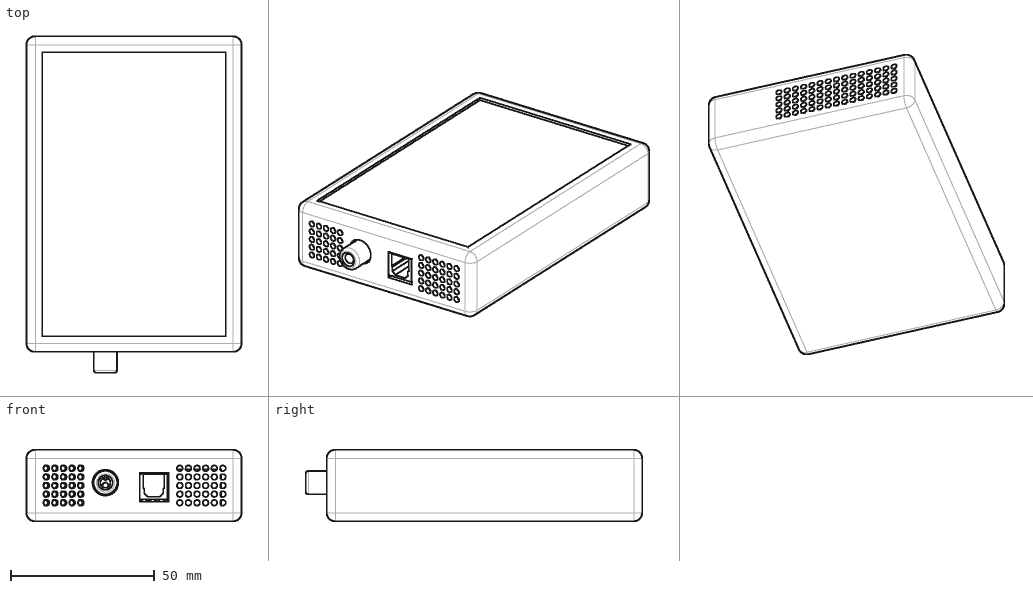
import cadquery as cq

WIDTH = 75.0
TOTAL_LENGTH = 117.2
HEIGHT = 25.0
JACK_REACH = 7.3
LENGTH = TOTAL_LENGTH - JACK_REACH
EDGE_RADIUS = 3.0
WALL = 2.0

RECESS_MARGIN = 5.5
RECESS_DEPTH = 0.9

VENT_DIAMETER = 2.0
VENT_ROWS = 5
RIGHT_COLUMNS = 6
RIGHT_GRID_SPAN = 15.0
VENT_PITCH = RIGHT_GRID_SPAN / (RIGHT_COLUMNS - 1)
LEFT_COLUMNS = 5
LEFT_GRID_START = -30.5
RIGHT_GRID_START = 16.0
BACK_COLUMNS = 15
BACK_GRID_START = -31.0

JACK_X = -10.0
JACK_Z = 1.0
JACK_DIAMETER = 8.2
JACK_HOLE_DIAMETER = 9.0
JACK_TIP_RADIUS = 0.9
JACK_MOUTH_DIAMETER = 5.0
JACK_BORE_DIAMETER = 3.5
JACK_FLANGE_DIAMETER = 10.5
JACK_FLANGE_THICKNESS = 1.8

WINDOW_SIZE = 10.0
WINDOW_X = 7.0
WINDOW_Z = -0.6
SOCKET_GAP = 0.4
SOCKET_SETBACK = 0.2
SOCKET_BOTTOM_GAP = 0.8
SOCKET_DEPTH = 12.9
PORT_DEPTH = 10.5
PORT_WIDTH = 7.3
PORT_HEIGHT = 7.9
PORT_ROOF = 0.1
PORT_STEP = 0.4
PORT_STEP_DROP = 4.8
PORT_STEP_RISE = 0.2
PORT_CHAMFER = 1.2

CONNECTOR_WIDTH = 16.0
CONNECTOR_HEIGHT = 13.5
CONNECTOR_DEPTH = 15.2
CONNECTOR_RIGHT = 30.4
CONNECTOR_TOP = 5.6


def block(x_min, y_min, z_min, width, depth, height):
    """Axis-aligned box placed by its lowest corner."""
    return cq.Workplane("XY").box(width, depth, height, centered=False).translate((x_min, y_min, z_min))


def rod(x, y, z, diameter, length):
    """Cylinder along +Y whose front end is at y."""
    return cq.Workplane("XZ", origin=(x, y, z)).circle(diameter / 2).extrude(-length)


def vent_grid(first_x, columns, wall_front):
    """Cutting pins for a vent grid centred on Z = 0, through the wall that starts at wall_front."""
    first_z = -VENT_PITCH * (VENT_ROWS - 1) / 2
    centres = [
        (first_x + column * VENT_PITCH, first_z + row * VENT_PITCH)
        for column in range(columns)
        for row in range(VENT_ROWS)
    ]
    plane = cq.Workplane("XZ", origin=(0, wall_front, 0))
    return plane.pushPoints(centres).circle(VENT_DIAMETER / 2).extrude(-WALL)


def make_housing():
    shell = block(-WIDTH / 2, 0, -HEIGHT / 2, WIDTH, LENGTH, HEIGHT).edges().fillet(EDGE_RADIUS)
    cavity = block(
        WALL - WIDTH / 2, WALL, WALL - HEIGHT / 2,
        WIDTH - 2 * WALL, LENGTH - 2 * WALL, HEIGHT - 2 * WALL,
    )
    recess = block(
        RECESS_MARGIN - WIDTH / 2, RECESS_MARGIN, HEIGHT / 2 - RECESS_DEPTH,
        WIDTH - 2 * RECESS_MARGIN, LENGTH - 2 * RECESS_MARGIN, RECESS_DEPTH,
    )
    window = block(
        WINDOW_X - WINDOW_SIZE / 2, 0, WINDOW_Z - WINDOW_SIZE / 2,
        WINDOW_SIZE, WALL, WINDOW_SIZE,
    )
    jack_hole = rod(JACK_X, 0, JACK_Z, JACK_HOLE_DIAMETER, WALL)
    shell = shell.cut(cavity).cut(recess).cut(window).cut(jack_hole)
    shell = shell.cut(vent_grid(LEFT_GRID_START, LEFT_COLUMNS, 0))
    shell = shell.cut(vent_grid(RIGHT_GRID_START, RIGHT_COLUMNS, 0))
    return shell.cut(vent_grid(BACK_GRID_START, BACK_COLUMNS, LENGTH - WALL))


def make_jack():
    barrel_length = JACK_REACH + WALL
    barrel = rod(JACK_X, -JACK_REACH, JACK_Z, JACK_DIAMETER, barrel_length)
    barrel = barrel.faces("<Y").edges().fillet(JACK_TIP_RADIUS)
    flange = rod(JACK_X, WALL, JACK_Z, JACK_FLANGE_DIAMETER, JACK_FLANGE_THICKNESS)
    bore = rod(JACK_X, -JACK_REACH, JACK_Z, JACK_BORE_DIAMETER, barrel_length + JACK_FLANGE_THICKNESS)
    jack = barrel.union(flange).cut(bore)
    flare = (JACK_MOUTH_DIAMETER - JACK_BORE_DIAMETER) / 2
    return jack.faces("<Y").edges(cq.selectors.RadiusNthSelector(0)).chamfer(flare)


def make_optical_socket():
    left = WINDOW_X - WINDOW_SIZE / 2
    bottom = WINDOW_Z - WINDOW_SIZE / 2 + SOCKET_BOTTOM_GAP
    top = WINDOW_Z + WINDOW_SIZE / 2 - SOCKET_GAP
    body = block(left, SOCKET_SETBACK, bottom, WINDOW_SIZE - SOCKET_GAP, SOCKET_DEPTH, top - bottom)
    upper = PORT_WIDTH / 2
    lower = upper - PORT_STEP
    floor = lower - PORT_CHAMFER
    right_side = [
        (upper, 0),
        (upper, -PORT_STEP_DROP),
        (lower, -PORT_STEP_DROP - PORT_STEP_RISE),
        (lower, PORT_CHAMFER - PORT_HEIGHT),
        (floor, -PORT_HEIGHT),
    ]
    left_side = [(-x, z) for x, z in reversed(right_side)]
    plane = cq.Workplane("XZ", origin=(WINDOW_X - SOCKET_GAP / 2, SOCKET_SETBACK, top - PORT_ROOF))
    port = plane.polyline(right_side + left_side).close().extrude(-PORT_DEPTH)
    return body.cut(port)


def make_rear_connector():
    return block(
        CONNECTOR_RIGHT - CONNECTOR_WIDTH,
        LENGTH - WALL - CONNECTOR_DEPTH,
        CONNECTOR_TOP - CONNECTOR_HEIGHT,
        CONNECTOR_WIDTH, CONNECTOR_DEPTH, CONNECTOR_HEIGHT,
    )


housing = make_housing()
jack = make_jack()
optical_socket = make_optical_socket()
rear_connector = make_rear_connector()

result = cq.Compound.makeCompound(
    [housing.val(), jack.val(), optical_socket.val(), rear_connector.val()]
)